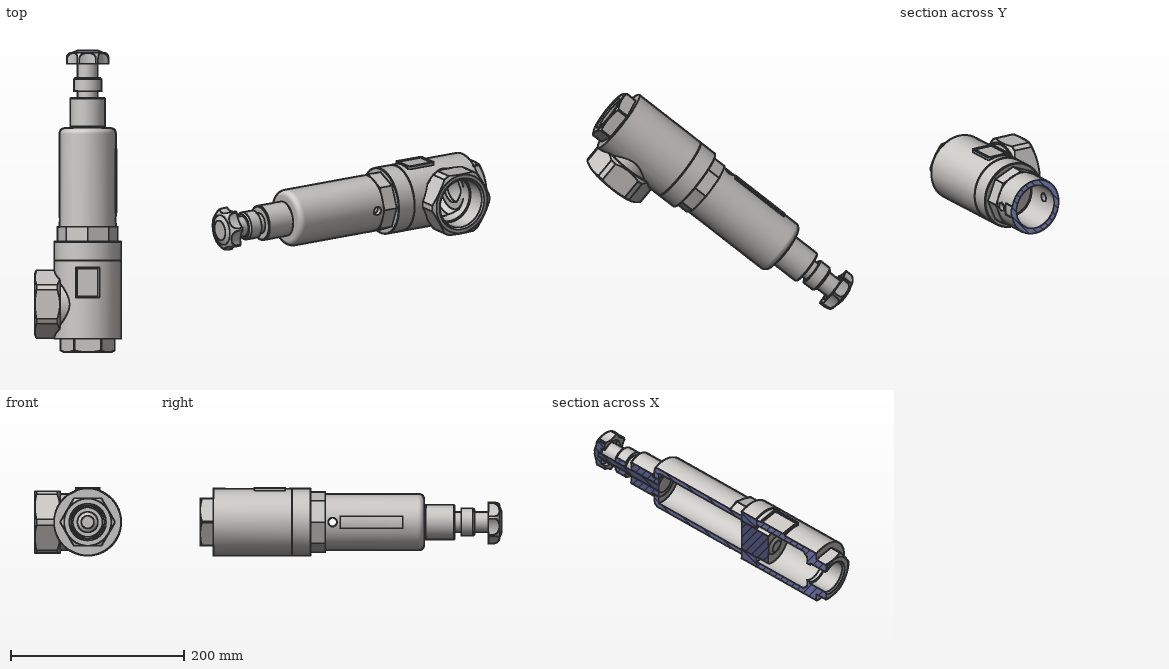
import cadquery as cq
import math


OVERALL_LENGTH = 348.5
OVERALL_WIDTH = 100.0
OVERALL_HEIGHT = 78.5

INLET_HEX_LENGTH = 15.5
BODY_TOP = 105.5
COLLAR_TOP = 128.0
OCTAGON_TOP = 144.7
BONNET_TOP = 259.0
SLEEVE_SHOULDER = 260.8
SLEEVE_TOP = 294.0
LOCK_NUT_BOTTOM = 301.5
LOCK_NUT_TOP = 317.3
KNOB_BOTTOM = 333.0

BODY_DIAMETER = 77.8
BODY_RADIUS = BODY_DIAMETER / 2
CHAMBER_RADIUS = 30.7
CHAMBER_FLOOR = 29.5
FLOOR_CHAMFER = 5.5

INLET_ACROSS_FLATS = 55.0
INLET_CORNER_RADIUS = 31.5
INLET_FACE_RADIUS = 27.2
INLET_BORE_RADIUS = 19.2
INLET_BORE_DEPTH = 25.0
BORE_CHAMFER = 2.0
SEAT_RADIUS = 17.0

OUTLET_REACH = OVERALL_WIDTH - BODY_RADIUS
OUTLET_Y = 55.5
OUTLET_ACROSS_FLATS = 71.5
OUTLET_CORNER_RADIUS = 39.5
OUTLET_FACE_RADIUS = 35.0
OUTLET_HEX_LENGTH = 29.5
OUTLET_NECK_RADIUS = 32.8
OUTLET_BORE_RADIUS = 28.5
OUTLET_BORE_DEPTH = 25.5
OUTLET_PORT_RADIUS = 27.0
HEX_FACE_CHAMFER = 2.0
HEX_BACK_CHAMFER = 3.5

BADGE_WIDTH = 28.0
BADGE_LENGTH = 35.5
BADGE_Y = 80.5
BADGE_TOP = OVERALL_HEIGHT - BODY_RADIUS
BADGE_CORNER = 2.0
BADGE_RIM = 2.0
BADGE_RECESS = 0.7

COLLAR_CHAMFER = 0.7
COLLAR_BORE = 24.5
DISC_BOTTOM = 87.0
DISC_BOSS_HEIGHT = 2.8
DISC_BOSS_BASE_RADIUS = 12.0
DISC_BOSS_TIP_RADIUS = 7.3

BONNET_RADIUS = 32.8
BONNET_FILLET = 6.5
BONNET_WALL = 7.0
CAVITY_TOP = BONNET_TOP - BONNET_WALL
OCTAGON_CORNER_RADIUS = 35.0
VENT_DIAMETER = 9.8
VENT_Y = 153.0
LABEL_Y = 198.0
LABEL_LENGTH = 72.5
LABEL_WIDTH = 14.0
LABEL_HEIGHT = 0.7

SLEEVE_RADIUS = 20.2
SLEEVE_NECK_RADIUS = 17.0
SLEEVE_CHAMFER = 1.0
STEM_RADIUS = 12.0
LOCK_NUT_RADIUS = 16.0
LOCK_NUT_CHAMFER = 2.0
KNOB_RADIUS = 24.8
KNOB_ROUND = 7.3
KNOB_DOME_DROP = 2.5
KNOB_CROWN_RADIUS = 11.5
KNOB_RECESS_RADIUS = 16.5
KNOB_RECESS_DEPTH = 5.2
SCALLOP_COUNT = 7
SCALLOP_RADIUS = 21.0
SCALLOP_INNER_RADIUS = 20.5
STEM_TOP = 343.5


def revolve_y(profile):
    """Turn a closed profile of (radius, y) points around the valve axis."""
    return profile.close().revolve(360, (0, 0, 0), (0, 1, 0))


def turned(points):
    """Turn a polygon of (radius, y) points around the valve axis."""
    return revolve_y(cq.Workplane("XY").polyline(points))


def turned_upright(points):
    """Turn a polygon of (radius, z) points around the Z axis."""
    return cq.Workplane("XZ").polyline(points).close().revolve(360, (0, 0, 0), (0, 1, 0))


def rod(radius, start, end):
    """Cylinder on the valve axis between two y positions."""
    return cq.Workplane("XZ", origin=(0, start, 0)).circle(radius).extrude(start - end)


def turned_hexagon(across_flats, length, corner_radius, face_radius):
    """Hexagon along +Z from its chamfered face at z = 0, its corners turned down at both ends."""
    corner_diameter = across_flats / math.cos(math.pi / 6)
    hexagon = cq.Workplane("XY").polygon(6, corner_diameter).extrude(length)
    turned_outline = [
        (0, 0),
        (face_radius, 0),
        (corner_radius, HEX_FACE_CHAMFER),
        (corner_radius, length - HEX_BACK_CHAMFER),
        (face_radius, length),
        (0, length),
    ]
    return hexagon.intersect(turned_upright(turned_outline))


def stepped_bore(radius, depth, port_radius, port_depth):
    """Chamfered bore along +Z from z = 0 that narrows to a port."""
    return turned_upright([
        (0, 0),
        (radius + BORE_CHAMFER, 0),
        (radius, BORE_CHAMFER),
        (radius, depth),
        (port_radius, depth),
        (port_radius, port_depth),
        (0, port_depth),
    ])


def at_inlet(shape):
    """Stand a +Z shape on the inlet face, pointing along +Y."""
    return shape.rotate((0, 0, 0), (1, 0, 0), -90)


def at_outlet(shape):
    """Stand a +Z shape on the outlet face, pointing along +X, with hexagon corners on +Y and -Y."""
    upright = shape.rotate((0, 0, 0), (0, 0, 1), 90)
    return upright.rotate((0, 0, 0), (0, 1, 0), 90).translate((-OUTLET_REACH, OUTLET_Y, 0))


def make_badge():
    """Raised rectangular badge with a shallow recess inside its rim."""
    plate = (
        cq.Workplane("XY", origin=(0, BADGE_Y, 0))
        .rect(BADGE_WIDTH, BADGE_LENGTH)
        .extrude(BADGE_TOP)
        .edges("|Z")
        .fillet(BADGE_CORNER)
    )
    recess = (
        cq.Workplane("XY", origin=(0, BADGE_Y, BADGE_TOP - BADGE_RECESS))
        .rect(BADGE_WIDTH - 2 * BADGE_RIM, BADGE_LENGTH - 2 * BADGE_RIM)
        .extrude(BADGE_RECESS)
    )
    return plate, recess


def make_valve_body():
    barrel = rod(BODY_RADIUS, INLET_HEX_LENGTH, BODY_TOP)
    inlet_hex = turned_hexagon(
        INLET_ACROSS_FLATS, INLET_HEX_LENGTH + HEX_BACK_CHAMFER, INLET_CORNER_RADIUS, INLET_FACE_RADIUS
    )
    outlet_hex = turned_hexagon(
        OUTLET_ACROSS_FLATS, OUTLET_HEX_LENGTH, OUTLET_CORNER_RADIUS, OUTLET_FACE_RADIUS
    )
    neck = cq.Workplane("XY").circle(OUTLET_NECK_RADIUS).extrude(OUTLET_REACH)
    badge, badge_recess = make_badge()
    solid = barrel.union(at_inlet(inlet_hex)).union(at_outlet(outlet_hex)).union(at_outlet(neck))
    solid = solid.union(badge).cut(badge_recess)

    chamber = turned([
        (0, CHAMBER_FLOOR),
        (CHAMBER_RADIUS - FLOOR_CHAMFER, CHAMBER_FLOOR),
        (CHAMBER_RADIUS, CHAMBER_FLOOR + FLOOR_CHAMFER),
        (CHAMBER_RADIUS, BODY_TOP),
        (0, BODY_TOP),
    ])
    inlet_bore = stepped_bore(INLET_BORE_RADIUS, INLET_BORE_DEPTH, SEAT_RADIUS, CHAMBER_FLOOR)
    outlet_bore = stepped_bore(OUTLET_BORE_RADIUS, OUTLET_BORE_DEPTH, OUTLET_PORT_RADIUS, OUTLET_REACH)
    return solid.cut(chamber).cut(at_inlet(inlet_bore)).cut(at_outlet(outlet_bore))


def make_collar():
    ring = rod(BODY_RADIUS, BODY_TOP, COLLAR_TOP).faces("<Y or >Y").edges().chamfer(COLLAR_CHAMFER)
    return ring.cut(rod(COLLAR_BORE, BODY_TOP, COLLAR_TOP))


def make_disc():
    """Valve disc that slides in the collar, with a conical boss towards the inlet."""
    return turned([
        (0, DISC_BOTTOM - DISC_BOSS_HEIGHT),
        (DISC_BOSS_TIP_RADIUS, DISC_BOTTOM - DISC_BOSS_HEIGHT),
        (DISC_BOSS_BASE_RADIUS, DISC_BOTTOM),
        (COLLAR_BORE, DISC_BOTTOM),
        (COLLAR_BORE, COLLAR_TOP),
        (0, COLLAR_TOP),
    ])


def make_bonnet():
    cap = rod(BONNET_RADIUS, OCTAGON_TOP, BONNET_TOP).faces(">Y").edges().fillet(BONNET_FILLET)
    octagon = (
        cq.Workplane("XZ", origin=(0, COLLAR_TOP, 0))
        .polygon(8, 2 * OCTAGON_CORNER_RADIUS)
        .extrude(COLLAR_TOP - OCTAGON_TOP)
    )
    label_block = cq.Workplane("XY", origin=(BONNET_RADIUS, LABEL_Y, 0)).box(
        BONNET_RADIUS, LABEL_LENGTH, LABEL_WIDTH
    )
    label = rod(BONNET_RADIUS + LABEL_HEIGHT, COLLAR_TOP, BONNET_TOP).intersect(label_block)
    cavity = rod(BONNET_RADIUS - BONNET_WALL, COLLAR_TOP, CAVITY_TOP)
    sleeve_hole = rod(SLEEVE_NECK_RADIUS, COLLAR_TOP, BONNET_TOP)
    vent = cq.Workplane("YZ", origin=(0, VENT_Y, 0)).circle(VENT_DIAMETER / 2).extrude(
        2 * OCTAGON_CORNER_RADIUS, both=True
    )
    return cap.union(octagon).union(label).cut(cavity).cut(sleeve_hole).cut(vent)


def make_sleeve():
    head = rod(SLEEVE_RADIUS, SLEEVE_SHOULDER, SLEEVE_TOP).faces(">Y").edges().chamfer(SLEEVE_CHAMFER)
    neck = rod(SLEEVE_NECK_RADIUS, CAVITY_TOP, SLEEVE_SHOULDER)
    return head.union(neck).cut(rod(STEM_RADIUS, CAVITY_TOP, SLEEVE_TOP))


def make_stem():
    return rod(STEM_RADIUS, CAVITY_TOP, STEM_TOP)


def make_lock_nut():
    nut = rod(LOCK_NUT_RADIUS, LOCK_NUT_BOTTOM, LOCK_NUT_TOP).faces(">Y").edges().chamfer(LOCK_NUT_CHAMFER)
    return nut.cut(rod(STEM_RADIUS, LOCK_NUT_BOTTOM, LOCK_NUT_TOP))


def make_knob():
    """Domed knob with scalloped sides and a recess around the stem."""
    round_top = OVERALL_LENGTH - KNOB_DOME_DROP
    profile = (
        cq.Workplane("XY")
        .moveTo(0, KNOB_BOTTOM)
        .lineTo(KNOB_RADIUS, KNOB_BOTTOM)
        .lineTo(KNOB_RADIUS, round_top - KNOB_ROUND)
        .radiusArc((KNOB_RADIUS - KNOB_ROUND, round_top), -KNOB_ROUND)
        .lineTo(KNOB_CROWN_RADIUS, OVERALL_LENGTH)
        .lineTo(0, OVERALL_LENGTH)
    )
    knob = revolve_y(profile)
    scallop = rod(SCALLOP_RADIUS, KNOB_BOTTOM, OVERALL_LENGTH).translate(
        (0, 0, SCALLOP_INNER_RADIUS + SCALLOP_RADIUS)
    )
    for index in range(SCALLOP_COUNT):
        knob = knob.cut(scallop.rotate((0, 0, 0), (0, 1, 0), index * 360 / SCALLOP_COUNT))
    recess = rod(KNOB_RECESS_RADIUS, KNOB_BOTTOM, KNOB_BOTTOM + KNOB_RECESS_DEPTH)
    return knob.cut(recess).cut(rod(STEM_RADIUS, KNOB_BOTTOM, STEM_TOP))


valve_body = make_valve_body()
collar = make_collar()
disc = make_disc()
bonnet = make_bonnet()
sleeve = make_sleeve()
stem = make_stem()
lock_nut = make_lock_nut()
knob = make_knob()

result = cq.Compound.makeCompound([
    valve_body.val(),
    collar.val(),
    disc.val(),
    bonnet.val(),
    sleeve.val(),
    stem.val(),
    lock_nut.val(),
    knob.val(),
])